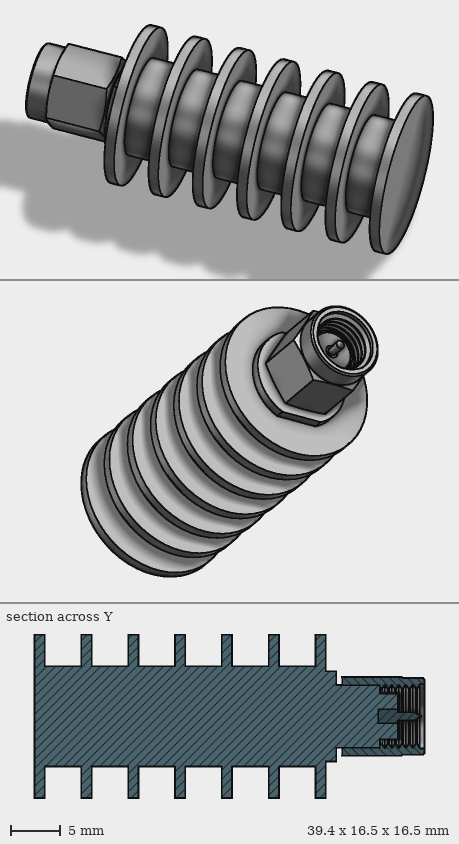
import cadquery as cq
import math


total_length = 39.35
fin_count = 7
fin_width = 1.05
fin_pitch = 4.72
fin_radius = 16.5 / 2
core_radius = 5.08
first_fin_x = total_length - fin_width - (fin_count - 1) * fin_pitch
flange_x = 8.9
flange_across_flats = 9.13
neck_radius = 3.2
neck_x = 4.5
tube_outer_radius = 2.32
tube_inner_radius = 2.12
tube_x = 2.5
tube_recess_depth = 0.15
tube_floor_x = tube_x + tube_recess_depth

collar_radius = 3.9
collar_chamfer_length = 0.15
collar_chamfer_depth = 0.2
hex_x = 2.3
nut_length = 8.35
hex_across_flats = 7.95
hex_corner_radius = hex_across_flats / math.sqrt(3)
hex_end_radius = hex_across_flats / 2
hex_bevel_length = 0.2
thread_minor_radius = 2.8
thread_major_radius = 3.2
thread_pitch = 0.7
groove_count = 5
thread_crest_width = 0.15
groove_half_width = (thread_pitch - thread_crest_width) / 2
mouth_radius = 3.23
mouth_length = 0.47
mouth_flank_angle = 30
mouth_cone_length = (mouth_radius - thread_minor_radius) * math.tan(math.radians(mouth_flank_angle))
mouth_end_x = mouth_length + mouth_cone_length

pin_tip_x = 0.35
pin_cone_length = 0.63
pin_radius = 0.45
shoulder_radius = 0.65
pin_socket_depth = 1.95
pin_end_x = tube_floor_x + pin_socket_depth


def cylinder(radius, start_x, end_x):
    """Solid cylinder on the X axis between two X positions."""
    return cq.Workplane("YZ", origin=(start_x, 0, 0)).circle(radius).extrude(end_x - start_x)


def revolve_profile(points):
    """Revolve a closed (x, radius) profile around the X axis."""
    return cq.Workplane("XY").polyline(points).close().revolve(360, (0, 0, 0), (1, 0, 0))


def make_flange():
    """Round flange with wrench flats on its +Z and -Z sides."""
    flats = cq.Workplane("XY", origin=(flange_x, 0, 0)).box(
        first_fin_x - flange_x, 2 * core_radius, flange_across_flats, centered=(False, True, True)
    )
    return cylinder(core_radius, flange_x, first_fin_x).intersect(flats)


def make_body():
    """Finned core with flange, neck and contact tube, drilled for the pin shoulder."""
    body = cylinder(core_radius, first_fin_x, total_length)
    for index in range(fin_count):
        fin_x = first_fin_x + index * fin_pitch
        body = body.union(cylinder(fin_radius, fin_x, fin_x + fin_width))
    body = body.union(make_flange())
    body = body.union(cylinder(neck_radius, neck_x, flange_x))
    body = body.union(cylinder(tube_outer_radius, tube_x, neck_x))
    body = body.cut(cylinder(tube_inner_radius, tube_x, tube_floor_x))
    return body.cut(cylinder(shoulder_radius, tube_floor_x, pin_end_x))


def make_hex():
    """Hexagon with corners on +Y and -Y, its corners bevelled at both ends."""
    prism = (
        cq.Workplane("YZ", origin=(hex_x, 0, 0))
        .polygon(6, 2 * hex_corner_radius)
        .extrude(nut_length - hex_x)
    )
    bevel = revolve_profile([
        (hex_x, 0),
        (hex_x, hex_end_radius),
        (hex_x + hex_bevel_length, hex_corner_radius),
        (nut_length - hex_bevel_length, hex_corner_radius),
        (nut_length, hex_end_radius),
        (nut_length, 0),
    ])
    return prism.intersect(bevel)


def make_collar():
    """Round front of the nut, chamfered at the open end."""
    return revolve_profile([
        (0, 0),
        (0, collar_radius - collar_chamfer_depth),
        (collar_chamfer_length, collar_radius),
        (hex_x, collar_radius),
        (hex_x, 0),
    ])


def make_thread_groove(centre_x):
    """V-shaped ring that cuts one thread groove into the bore."""
    return revolve_profile([
        (centre_x - groove_half_width, thread_minor_radius),
        (centre_x, thread_major_radius),
        (centre_x + groove_half_width, thread_minor_radius),
    ])


def make_mouth():
    """Plain counterbore that narrows to the thread crests."""
    return revolve_profile([
        (0, 0),
        (0, mouth_radius),
        (mouth_length, mouth_radius),
        (mouth_end_x, thread_minor_radius),
        (mouth_end_x, 0),
    ])


def make_nut():
    """Coupling nut with a ring-grooved thread bore, seated on the neck of the body."""
    nut = make_collar().union(make_hex())
    nut = nut.cut(cylinder(thread_minor_radius, 0, neck_x))
    nut = nut.cut(cylinder(neck_radius, neck_x, nut_length))
    nut = nut.cut(make_mouth())
    for index in range(groove_count):
        nut = nut.cut(make_thread_groove(mouth_length + (index + 1) * thread_pitch))
    return nut


def make_pin():
    """Pointed contact pin with a wider shoulder held in the body."""
    return revolve_profile([
        (pin_tip_x, 0),
        (pin_tip_x + pin_cone_length, pin_radius),
        (tube_floor_x, pin_radius),
        (tube_floor_x, shoulder_radius),
        (pin_end_x, shoulder_radius),
        (pin_end_x, 0),
    ])


body = make_body()
nut = make_nut()
pin = make_pin()

result = cq.Compound.makeCompound([body.val(), nut.val(), pin.val()])